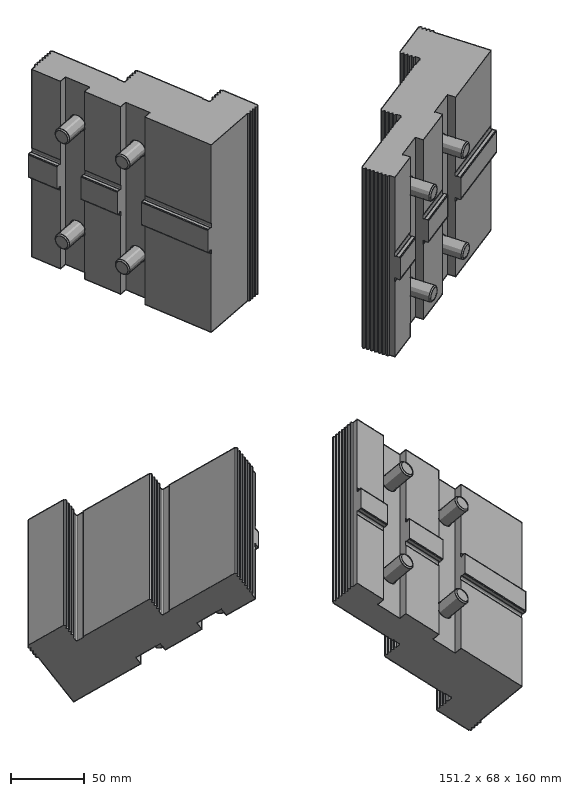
import cadquery as cq

height = 160.0
total_width = 151.2
total_depth = 68.0

tooth_height = 1.2
short_row = 12.0
tooth_gap = 0.5
tooth_flank = 0.69
teeth_per_step = [7, 4, 4]

step_run = 60.0
step_rise = 15.0
relief_width = 6.0
relief_depth = 0.56
relief_radius = 1.0

body_depth = 55.0
channel_width = 20.0
channel_depth = 6.0
channel_pitch = 50.0 
channel_margin = 23.8

key_width = 20.0
key_height = 4.0
key_chamfer = 0.56
groove_width = 26.0
groove_depth = 0.3
undercut_height = 1.0
undercut_depth = 0.3
root_radius = 0.5

pin_diameter = 12.0
pin_chamfer = 1.0
hole_diameter = 13.0
hole_depth = 12.0
pin_spacing = 90.0

tooth_pitch = short_row / teeth_per_step[-1]
left_x = -total_width / 2 + tooth_height
right_x = total_width / 2 - tooth_height
step_count = len(teeth_per_step)
wall_x = [left_x + i * step_run for i in range(step_count)]
top_y = total_depth / 2
ledge_y = [top_y - (step_count - 1 - i) * step_rise for i in range(step_count)]
front_y = top_y - body_depth
groove_y = front_y + groove_depth
channel_y = front_y + channel_depth
hole_end_y = channel_y + hole_depth
key_y = front_y - key_height
tip_y = -total_depth / 2
first_channel_x = left_x + channel_margin + channel_width / 2
channel_x = [first_channel_x, first_channel_x + channel_pitch]
pin_places = [(x, z) for x in channel_x for z in (-pin_spacing / 2, pin_spacing / 2)]


def upright_prism(points):
    """Extrude an XY outline over the full height."""
    return cq.Workplane("XY", origin=(0, 0, -height / 2)).polyline(points).close().extrude(height)


def upright_block(x_min, x_max, y_min, y_max):
    return upright_prism([(x_min, y_min), (x_max, y_min), (x_max, y_max), (x_min, y_max)])


def mirrored_rail(half_outline):
    """Extrude a (y, z) outline, mirrored about z = 0, along the full width of the body."""
    outline = half_outline + [(y, -z) for y, z in reversed(half_outline)]
    return cq.Workplane("YZ", origin=(left_x, 0, 0)).polyline(outline).close().extrude(right_x - left_x)


def cylinder(x, z, diameter, y_min, y_max):
    return cq.Workplane("XZ", origin=(x, y_max, z)).circle(diameter / 2).extrude(y_max - y_min)


def tooth_points(x_root, y_top, count, direction):
    """Zigzag outline of one row of teeth going down from y_top, pointing to +X or -X."""
    x_tip = x_root + direction * tooth_height
    points = []
    for i in range(count):
        y_start = y_top - i * tooth_pitch - tooth_gap / 2
        y_end = y_top - (i + 1) * tooth_pitch + tooth_gap / 2
        points += [
            (x_root, y_start),
            (x_tip, y_start - tooth_flank),
            (x_tip, y_end + tooth_flank),
            (x_root, y_end),
        ]
    return points


def stepped_prism():
    """Stepped block with teeth on every wall and sunken strips on the two lower ledges."""
    points = [(left_x, front_y)]
    for i in range(step_count):
        points += reversed(tooth_points(wall_x[i], ledge_y[i], teeth_per_step[i], -1))
        points.append((wall_x[i], ledge_y[i]))
        if i + 1 < step_count:
            sunk_y = ledge_y[i] - relief_depth
            sunk_x = wall_x[i + 1] - relief_width
            points += [(sunk_x, ledge_y[i]), (sunk_x, sunk_y), (wall_x[i + 1], sunk_y)]
    points.append((right_x, top_y))
    points += tooth_points(right_x, top_y, teeth_per_step[-1], 1)
    points.append((right_x, front_y))
    block = upright_prism(points)
    for x, y in zip(wall_x[1:], ledge_y):
        block = block.edges(cq.NearestToPointSelector((x, y - relief_depth, 0))).fillet(relief_radius)
    return block


def add_key(body):
    """Sink the relief strips into the front face and put the key between them."""
    edge_z = groove_width / 2
    groove = mirrored_rail([(front_y, edge_z), (groove_y, edge_z - groove_depth)])
    side_z = key_width / 2
    root_z = side_z - undercut_depth
    key = mirrored_rail([
        (groove_y, root_z),
        (front_y - undercut_height + undercut_depth, root_z),
        (front_y - undercut_height, side_z),
        (key_y + key_chamfer, side_z),
        (key_y, side_z - key_chamfer),
    ])
    body = body.cut(groove).union(key)
    for z in (-root_z, root_z):
        body = body.edges(cq.NearestToPointSelector((0, groove_y, z))).fillet(root_radius)
    return body


def make_body():
    body = add_key(stepped_prism())
    for x in channel_x:
        body = body.cut(upright_block(x - channel_width / 2, x + channel_width / 2, key_y, channel_y))
    for x, z in pin_places:
        body = body.cut(cylinder(x, z, hole_diameter, channel_y, hole_end_y))
    return body


def make_pin(x, z):
    """Pin standing on the floor of its hole, with a chamfered tip."""
    return cylinder(x, z, pin_diameter, tip_y, hole_end_y).faces("<Y").chamfer(pin_chamfer)


body = make_body()
pins = [make_pin(x, z) for x, z in pin_places]
result = cq.Compound.makeCompound([body.val(), *[pin.val() for pin in pins]])